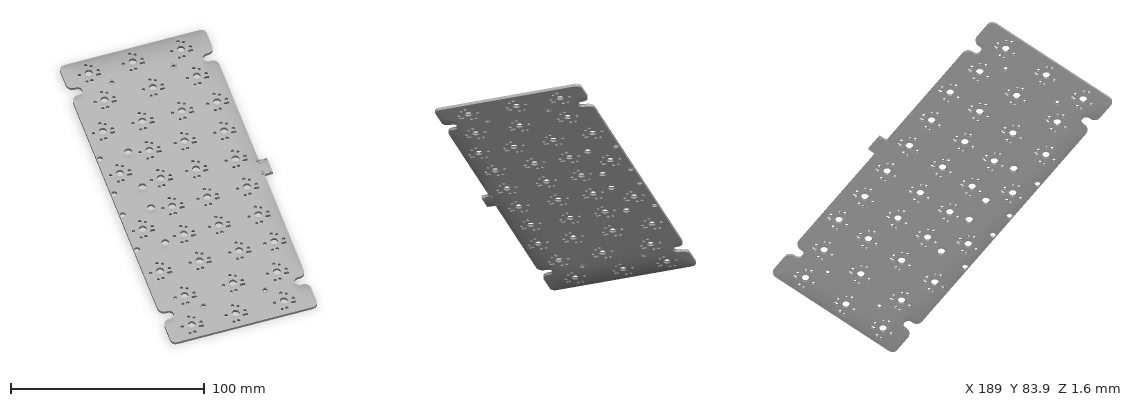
import cadquery as cq
import math


position_tolerance = 0.02

board_length = 189.0
overall_depth = 83.9
thickness = 1.6
corner_radius = 2.8

cell_overhang = 0.8
column_count = 10
column_key_heights = [
    [0.25, 1.5, 2.875],
    [0.375, 1.75, 3.0],
    [0.0, 1.125, 2.25, 3.25],
    [1.0, 2.0, 3.125],
    [1.0, 2.0, 3.125],
]
tallest_key_height = max(max(heights) for heights in column_key_heights)
key_pitch = (board_length + 2 * cell_overhang) / column_count
edge_margin = key_pitch / 2 - cell_overhang

body_depth = tallest_key_height * key_pitch + 2 * edge_margin
bottom_edge = -overall_depth / 2
body_top_edge = bottom_edge + body_depth
tab_top_edge = overall_depth / 2
bottom_row = bottom_edge + edge_margin
outer_column = board_length / 2 - edge_margin

switch_grid = key_pitch / 15
stem_diameter = 4.0
post_diameter = 1.75
pin_diameter = 1.53
post_steps = [(-4, 0), (4, 0), (0, 4), (0, -4)]
pin_steps = [(-3, 2), (4, -2), (2, 3), (2, 4)]

wide_key_x = key_pitch
stabilizer_half_span = 11.9
stabilizer_large_diameter = 4.0
stabilizer_large_rise = 8.3
stabilizer_small_diameter = 3.0
stabilizer_small_drop = 7.0

screw_x = 4 * key_pitch
screw_key_heights = [0.75, 2.5]
screw_diameter = 2.3
via_diameter = 0.4
via_ring_radius = 1.65
via_count = 8

notch_width = 5.1
notch_depth = 6.8
notch_end_radius = 2.5
notch_mouth_radius = 3.4

tab_width = 9.6
tab_root_radius = 1.0
locator_diameter = 0.65
locator_half_span = 2.8
locator_inset = 0.4
locator_y = body_top_edge - locator_inset
shell_slot_width = 0.6
shell_slot_half_span = 4.3
rear_slot_length = 1.7
rear_slot_setback = 0.4
rear_slot_y = locator_y - rear_slot_setback
front_slot_length = 1.2
slot_row_spacing = 4.2
front_slot_y = rear_slot_y + slot_row_spacing


def row_y(height):
    """Y of a place given in key pitches above the bottom row."""
    return bottom_row + height * key_pitch


def mirrored(points):
    """The points together with their reflections across X = 0."""
    return [(side * x, y) for x, y in points for side in (-1, 1)]


def drill(points, diameter):
    return cq.Workplane("XY").pushPoints(points).circle(diameter / 2).extrude(thickness)


def shell_slots(y, length):
    points = mirrored([(shell_slot_half_span, y)])
    return cq.Workplane("XY").pushPoints(points).slot2D(length, shell_slot_width, 90).extrude(thickness)


def make_notch(x, edge_y):
    """Cutter for a notch with rounded inner corners, centred on a long edge of the board."""
    cutter = cq.Workplane("XY").rect(notch_width, 2 * notch_depth).extrude(thickness)
    return cutter.edges("|Z").fillet(notch_end_radius).translate((x, edge_y, 0))


def upright_edges_at(body, points):
    """The upright edges of the body that pass through the points."""
    edges = body.edges("|Z")
    chosen = [
        edge
        for edge in edges.vals()
        if any(
            math.dist((edge.Center().x, edge.Center().y), point) < position_tolerance
            for point in points
        )
    ]
    return body.newObject(chosen)


def make_blank():
    """Board with rounded corners, edge notches and connector tab, before drilling."""
    body = cq.Workplane("XY").box(board_length, body_depth, thickness, centered=(True, False, False))
    body = body.translate((0, bottom_edge, 0))
    for side in (-1, 1):
        body = body.cut(make_notch(side * screw_x, bottom_edge))
        body = body.cut(make_notch(side * screw_x, body_top_edge))

    corners = mirrored([(board_length / 2, y) for y in (bottom_edge, body_top_edge)])
    body = upright_edges_at(body, corners).fillet(corner_radius)
    mouth_x = [screw_x - notch_width / 2, screw_x + notch_width / 2]
    mouths = mirrored([(x, y) for x in mouth_x for y in (bottom_edge, body_top_edge)])
    body = upright_edges_at(body, mouths).fillet(notch_mouth_radius)

    tab_depth = tab_top_edge - bottom_edge
    tab = cq.Workplane("XY").box(tab_width, tab_depth, thickness, centered=(True, False, False))
    body = body.union(tab.translate((0, bottom_edge, 0)))
    tab_roots = mirrored([(tab_width / 2, body_top_edge)])
    return upright_edges_at(body, tab_roots).fillet(tab_root_radius)


key_centers = mirrored(
    [
        (outer_column - column * key_pitch, row_y(height))
        for column, heights in enumerate(column_key_heights)
        for height in heights
    ]
    + [(wide_key_x, bottom_row)]
)


def around_keys(steps):
    return [(x + i * switch_grid, y + j * switch_grid) for x, y in key_centers for i, j in steps]


result = make_blank()
result = result.cut(drill(key_centers, stem_diameter))
result = result.cut(drill(around_keys(post_steps), post_diameter))
for step in pin_steps:
    result = result.cut(drill(around_keys([step]), pin_diameter))

stabilizer_x = [wide_key_x - stabilizer_half_span, wide_key_x + stabilizer_half_span]
large_holes = mirrored([(x, bottom_row + stabilizer_large_rise) for x in stabilizer_x])
small_holes = mirrored([(x, bottom_row - stabilizer_small_drop) for x in stabilizer_x])
result = result.cut(drill(large_holes, stabilizer_large_diameter))
result = result.cut(drill(small_holes, stabilizer_small_diameter))

screw_centers = mirrored([(screw_x, row_y(height)) for height in screw_key_heights])
via_angles = [2 * math.pi * i / via_count for i in range(via_count)]
via_centers = [
    (x + via_ring_radius * math.cos(angle), y + via_ring_radius * math.sin(angle))
    for x, y in screw_centers
    for angle in via_angles
]
result = result.cut(drill(screw_centers, screw_diameter))
result = result.cut(drill(via_centers, via_diameter))

result = result.cut(drill(mirrored([(locator_half_span, locator_y)]), locator_diameter))
result = result.cut(shell_slots(rear_slot_y, rear_slot_length))
result = result.cut(shell_slots(front_slot_y, front_slot_length))